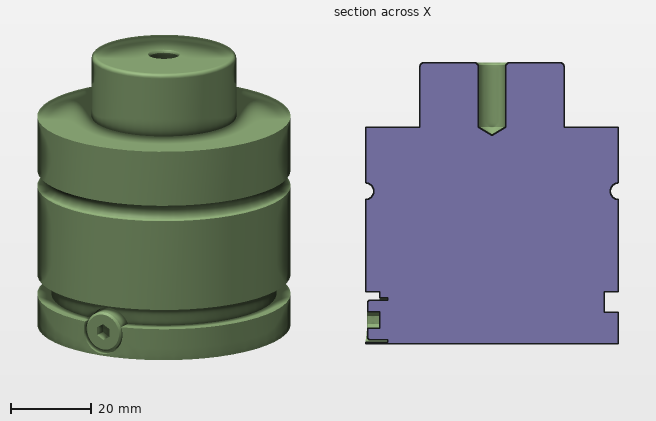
import cadquery as cq
import math

body_diameter = 63.0
body_radius = body_diameter / 2
body_height = 54.0
overall_height = 70.0

spigot_radius = 36.0 / 2
spigot_edge_radius = 1.0

round_groove_radius = 2.0
round_groove_z = 38.0

neck_radius = 56.0 / 2
neck_bottom = 8.0
neck_top = 13.0

tap_diameter = 6.8
tap_mouth_diameter = 8.0
tap_depth = 16.0
drill_point_angle = 118.0

plug_z = 6.0
plug_bore_diameter = 11.0
plug_bore_floor = 26.0
plug_diameter = 10.0
plug_face = 31.0
plug_chamfer = 0.5
socket_across_flats = 3.5
socket_depth = 3.0


def turned_body():
    """Revolve the half profile of the body, with both grooves, around Z."""
    profile = (
        cq.Workplane("XZ")
        .moveTo(0, 0)
        .lineTo(body_radius, 0)
        .lineTo(body_radius, neck_bottom)
        .lineTo(neck_radius, neck_bottom)
        .lineTo(neck_radius, neck_top)
        .lineTo(body_radius, neck_top)
        .lineTo(body_radius, round_groove_z - round_groove_radius)
        .threePointArc(
            (body_radius - round_groove_radius, round_groove_z),
            (body_radius, round_groove_z + round_groove_radius),
        )
        .lineTo(body_radius, body_height)
        .lineTo(spigot_radius, body_height)
        .lineTo(spigot_radius, overall_height)
        .lineTo(0, overall_height)
        .close()
    )
    body = profile.revolve(360, (0, 0, 0), (0, 1, 0))
    return body.faces(">Z").edges().fillet(spigot_edge_radius)


def tapped_hole():
    """Tool for the blind hole: 45 degree mouth, straight wall, conical drill point."""
    tap_radius = tap_diameter / 2
    mouth_radius = tap_mouth_diameter / 2
    mouth_depth = mouth_radius - tap_radius
    wall_end = overall_height - tap_depth
    point_length = tap_radius / math.tan(math.radians(drill_point_angle / 2))
    profile = (
        cq.Workplane("XZ")
        .moveTo(0, overall_height)
        .lineTo(mouth_radius, overall_height)
        .lineTo(tap_radius, overall_height - mouth_depth)
        .lineTo(tap_radius, wall_end)
        .lineTo(0, wall_end - point_length)
        .close()
    )
    return profile.revolve(360, (0, 0, 0), (0, 1, 0))


def radial_plane(distance):
    """Plane facing -Y at the given distance from the body axis, centred on the plug."""
    return cq.Workplane("XZ", origin=(0, -distance, plug_z))


def plug_bore():
    """Tool for the radial bore, from its floor out past the body surface."""
    bore_length = body_radius - plug_bore_floor
    return radial_plane(plug_bore_floor).circle(plug_bore_diameter / 2).extrude(bore_length)


def socket_plug():
    """Chamfered plug standing on the bore floor, with a hexagon socket in its face."""
    plug_length = plug_face - plug_bore_floor
    plug = radial_plane(plug_bore_floor).circle(plug_diameter / 2).extrude(plug_length)
    plug = plug.faces("<Y").edges().chamfer(plug_chamfer)
    across_corners = socket_across_flats / math.cos(math.pi / 6)
    socket = (
        radial_plane(plug_face)
        .transformed(rotate=(0, 0, 90))
        .polygon(6, across_corners)
        .extrude(-socket_depth)
    )
    return plug.cut(socket)


result = turned_body().cut(tapped_hole()).cut(plug_bore()).union(socket_plug())